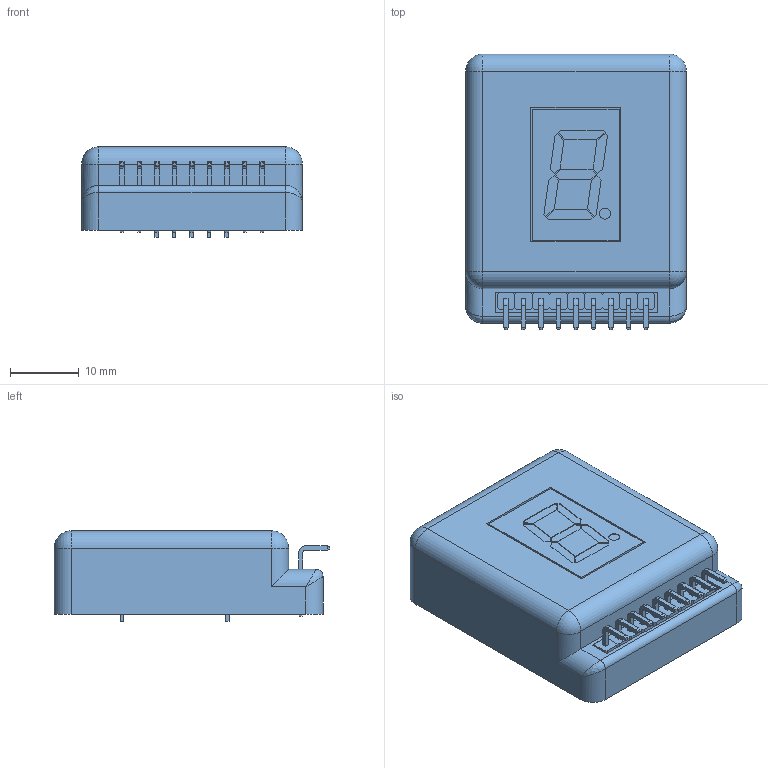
import cadquery as cq
import math


WIDTH = 32.0
LENGTH = 39.0
HEIGHT = 12.1
EDGE_RADIUS = 2.5
STEP_DEPTH = 5.0
STEP_HEIGHT = 6.5
STEP_FRONT_RADIUS = 1.0

PIN_PITCH = 2.54
DISPLAY_WIDTH = 12.6
DISPLAY_LENGTH = 19.0
DISPLAY_HEIGHT = 8.0
DISPLAY_BASE = HEIGHT - DISPLAY_HEIGHT
DISPLAY_X = -0.05
DISPLAY_Y = 21.5
WINDOW_WIDTH = 13.0
WINDOW_LENGTH = 19.5
DISPLAY_PIN_SIZE = 0.5
DISPLAY_PINS_PER_ROW = 5
DISPLAY_ROW_SPACING = 6 * PIN_PITCH
DISPLAY_PIN_END = -1.0

SEGMENT_WIDTH = 1.4
DIGIT_HALF_WIDTH = 3.8
DIGIT_HALF_HEIGHT = 6.45
DIGIT_CHAMFER = 0.7
SEGMENT_GAP = 0.12
DIGIT_SLANT = math.tan(math.radians(8))
INNER_HALF_WIDTH = DIGIT_HALF_WIDTH - SEGMENT_WIDTH
MITRE_NEAR = (DIGIT_CHAMFER - SEGMENT_GAP) / 2
MITRE_FAR = (DIGIT_CHAMFER + SEGMENT_GAP) / 2
POINT_DIAMETER = 1.6
POINT_X = 4.25
ENGRAVING_DEPTH = 0.1

HEADER_BLOCKS = (1, 1, 2, 1, 2, 1, 1)
HEADER_POSITIONS = sum(HEADER_BLOCKS)
HEADER_Y = 3.24
HEADER_BASE = STEP_HEIGHT - PIN_PITCH
HEADER_CHAMFER = 0.3
SLOT_WIDTH = 23.4
SLOT_X = 0.05
SLOT_FRONT = 1.5
SLOT_BACK = HEADER_Y + PIN_PITCH / 2
HEADER_PIN_SIZE = 0.62
HEADER_PIN_BOTTOM = -0.3
HEADER_PIN_FRONT = -1.0
HEADER_ARM_Z = 9.62
BEND_RADIUS = 1.0
PIN_TIP_LENGTH = 0.4
PIN_TIP_TAPER = 14.0


def box(width, length, bottom, top, x=0.0, y=0.0):
    """Upright box centred on (x, y) between two heights."""
    return (
        cq.Workplane("XY", origin=(x, y, bottom))
        .rect(width, length)
        .extrude(top - bottom)
    )


def pitch_positions(count):
    """X positions of a centred row at the pin pitch."""
    return [(i - (count - 1) / 2) * PIN_PITCH for i in range(count)]


def main_block():
    """Tall block behind the step, rounded on every edge except those of the underside."""
    length = LENGTH - STEP_DEPTH
    block = box(WIDTH, length, 0, HEIGHT, y=STEP_DEPTH + length / 2)
    return block.edges("|Z or >Z").fillet(EDGE_RADIUS)


def step_block():
    """Low block with rounded sides; it reaches back to where the main block's corners become straight."""
    length = STEP_DEPTH + EDGE_RADIUS
    block = box(WIDTH, length, 0, STEP_HEIGHT, y=length / 2)
    block = block.edges("(|Z and <Y) or (>Z and |Y)").fillet(EDGE_RADIUS)
    return block.faces(">Z").edges("<Y").fillet(STEP_FRONT_RADIUS)


def display_pins():
    """Two rows of square pins below the display."""
    pins = cq.Workplane("XY")
    for side in (-1, 1):
        y = DISPLAY_Y + side * DISPLAY_ROW_SPACING / 2
        for offset in pitch_positions(DISPLAY_PINS_PER_ROW):
            x = DISPLAY_X + offset
            pins = pins.add(box(DISPLAY_PIN_SIZE, DISPLAY_PIN_SIZE, DISPLAY_PIN_END, DISPLAY_BASE, x, y))
    return pins.combine()


def engrave(outline):
    """Shallow prism cut down from the top face, its outline slanted about the digit's centre."""
    slanted = [(x + DIGIT_SLANT * y, y) for x, y in outline]
    return (
        cq.Workplane("XY", origin=(DISPLAY_X, DISPLAY_Y, HEIGHT))
        .polyline(slanted)
        .close()
        .extrude(-ENGRAVING_DEPTH)
    )


def outer_bar(side):
    """Top (side 1) or bottom (side -1) bar, mitred towards the upright bars."""
    right_half = [
        (DIGIT_HALF_WIDTH - DIGIT_CHAMFER, DIGIT_HALF_HEIGHT),
        (DIGIT_HALF_WIDTH - MITRE_FAR, DIGIT_HALF_HEIGHT - MITRE_NEAR),
        (INNER_HALF_WIDTH - SEGMENT_GAP, DIGIT_HALF_HEIGHT - SEGMENT_WIDTH),
    ]
    left_half = [(-x, y) for x, y in reversed(right_half)]
    return engrave([(x, side * y) for x, y in right_half + left_half])


def middle_bar():
    """Bar across the centre, pointed at both ends."""
    tip = DIGIT_HALF_WIDTH - SEGMENT_WIDTH / 2 - SEGMENT_GAP
    shoulder = tip - SEGMENT_WIDTH / 2
    half = SEGMENT_WIDTH / 2
    upper = [(-tip, 0), (-shoulder, half), (shoulder, half)]
    lower = [(-x, -y) for x, y in upper]
    return engrave(upper + lower)


def upright_bar(x_side, y_side):
    """Upright bar of one quarter of the digit, pointed at the centre and mitred at its outer end."""
    shoulder = SEGMENT_WIDTH / 2 + SEGMENT_GAP
    outline = [
        (DIGIT_HALF_WIDTH, shoulder),
        (DIGIT_HALF_WIDTH, DIGIT_HALF_HEIGHT - DIGIT_CHAMFER),
        (DIGIT_HALF_WIDTH - MITRE_NEAR, DIGIT_HALF_HEIGHT - MITRE_FAR),
        (INNER_HALF_WIDTH, DIGIT_HALF_HEIGHT - SEGMENT_WIDTH - SEGMENT_GAP),
        (INNER_HALF_WIDTH, shoulder),
        (DIGIT_HALF_WIDTH - SEGMENT_WIDTH / 2, SEGMENT_GAP),
    ]
    return engrave([(x_side * x, y_side * y) for x, y in outline])


def decimal_point():
    """Round recess level with the foot of the digit."""
    y = DISPLAY_Y - DIGIT_HALF_HEIGHT + POINT_DIAMETER / 2
    return (
        cq.Workplane("XY", origin=(DISPLAY_X + POINT_X, y, HEIGHT))
        .circle(POINT_DIAMETER / 2)
        .extrude(-ENGRAVING_DEPTH)
    )


def make_display():
    """Display body, flush with the housing, with the digit engraved in its face and pins below."""
    body = box(DISPLAY_WIDTH, DISPLAY_LENGTH, DISPLAY_BASE, HEIGHT, DISPLAY_X, DISPLAY_Y)
    body = body.cut(middle_bar()).cut(decimal_point())
    for y_side in (-1, 1):
        body = body.cut(outer_bar(y_side))
        for x_side in (-1, 1):
            body = body.cut(upright_bar(x_side, y_side))
    return body.union(display_pins())


def pin_tip(plane):
    """Tapered end of a square wire, growing along the plane's normal."""
    return (
        cq.Workplane(plane)
        .rect(HEADER_PIN_SIZE, HEADER_PIN_SIZE)
        .extrude(PIN_TIP_LENGTH, taper=PIN_TIP_TAPER)
    )


def header_pin(x):
    """Square wire rising from the underside and bent forward, with tapered ends."""
    half = HEADER_PIN_SIZE / 2
    lower_end = HEADER_PIN_BOTTOM + PIN_TIP_LENGTH
    front_end = HEADER_PIN_FRONT + PIN_TIP_LENGTH
    back = HEADER_Y + half
    front = HEADER_Y - half
    top = HEADER_ARM_Z + half
    under = HEADER_ARM_Z - half
    inner = BEND_RADIUS - HEADER_PIN_SIZE
    diagonal = math.sqrt(0.5)
    bend_y = back - BEND_RADIUS
    bend_z = top - BEND_RADIUS
    pin = (
        cq.Workplane("YZ", origin=(x - half, 0, 0))
        .moveTo(back, lower_end)
        .lineTo(back, bend_z)
        .threePointArc((bend_y + BEND_RADIUS * diagonal, bend_z + BEND_RADIUS * diagonal), (bend_y, top))
        .lineTo(front_end, top)
        .lineTo(front_end, under)
        .lineTo(bend_y, under)
        .threePointArc((bend_y + inner * diagonal, bend_z + inner * diagonal), (front, bend_z))
        .lineTo(front, lower_end)
        .close()
        .extrude(HEADER_PIN_SIZE)
    )
    lower_tip = pin_tip(cq.Plane((x, HEADER_Y, lower_end), normal=(0, 0, -1)))
    front_tip = pin_tip(cq.Plane((x, front_end, HEADER_ARM_Z), normal=(0, -1, 0)))
    return pin.union(lower_tip).union(front_tip)


def header_cell(x):
    """Insulator of one header position, flush with the step."""
    cell = box(PIN_PITCH, PIN_PITCH, HEADER_BASE, STEP_HEIGHT, x, HEADER_Y)
    return cell.edges("|Z").chamfer(HEADER_CHAMFER)


def make_header_block(positions):
    """One solid holding the insulators and pins of neighbouring positions."""
    block = cq.Workplane("XY")
    for x in positions:
        block = block.union(header_cell(x)).union(header_pin(x))
    return block


def make_header_blocks():
    """All blocks of the row, from -X to +X."""
    positions = pitch_positions(HEADER_POSITIONS)
    blocks = []
    for size in HEADER_BLOCKS:
        blocks.append(make_header_block(positions[:size]))
        positions = positions[size:]
    return blocks


def make_housing():
    """Both blocks joined, with a window for the display, a slot for the header and holes for all pins."""
    body = main_block().union(step_block())
    window = box(WINDOW_WIDTH, WINDOW_LENGTH, DISPLAY_BASE, HEIGHT, DISPLAY_X, DISPLAY_Y)
    slot_y = (SLOT_FRONT + SLOT_BACK) / 2
    slot = box(SLOT_WIDTH, SLOT_BACK - SLOT_FRONT, HEADER_BASE, STEP_HEIGHT, SLOT_X, slot_y)
    body = body.cut(window).cut(slot).cut(display_pins())
    for x in pitch_positions(HEADER_POSITIONS):
        body = body.cut(header_pin(x))
    return body


housing = make_housing()
display = make_display()
header_blocks = make_header_blocks()
result = cq.Compound.makeCompound(
    [housing.val(), display.val(), *[block.val() for block in header_blocks]]
)